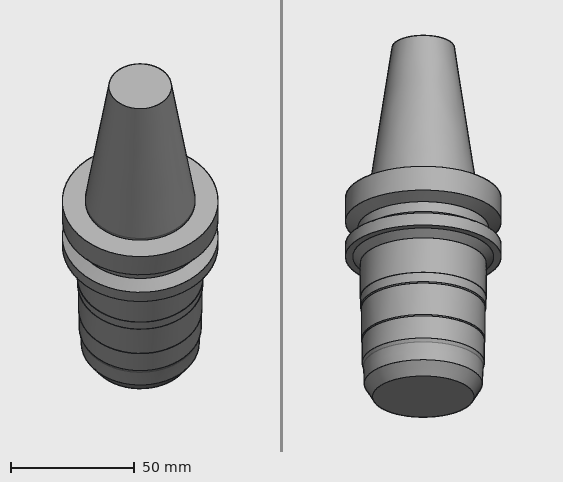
import cadquery as cq
import math

gauge_diameter = 44.45
taper_ratio = 7 / 24
shank_length = 65.4
overall_length = 154.3
nose_z = shank_length - overall_length

flange_diameter = 63.0
flange_top_z = -1.0
flange_bottom_z = -27.0
groove_centre_z = -16.6
groove_mouth_width = 10.15
groove_root_diameter = 53.0
groove_flank_angle = 30.0
collar_diameter = 57.0
collar_bottom_z = -30.0

body_diameter = 51.0
upper_step_z = -45.2
upper_band_diameter = 50.7
upper_band_bottom_z = -49.3
middle_diameter = 50.0
middle_top_z = -49.8
middle_bottom_z = -63.7
lower_band_diameter = 49.5
lower_band_top_z = -64.2
lower_band_bottom_z = -74.0
nose_ring_diameter = 48.5
nose_ring_z = -75.5
nose_shoulder_diameter = 47.8
nose_shoulder_z = -83.2
nose_end_diameter = 41.0

shank_end_diameter = gauge_diameter - taper_ratio * shank_length
groove_depth = (flange_diameter - groove_root_diameter) / 2
groove_flank_height = groove_depth * math.tan(math.radians(groove_flank_angle))
groove_top_z = groove_centre_z + groove_mouth_width / 2
groove_bottom_z = groove_centre_z - groove_mouth_width / 2

shank_profile = [
    (shank_end_diameter, shank_length),
    (gauge_diameter, 0),
    (gauge_diameter, flange_top_z),
]
flange_profile = [
    (flange_diameter, flange_top_z),
    (flange_diameter, groove_top_z),
    (groove_root_diameter, groove_top_z - groove_flank_height),
    (groove_root_diameter, groove_bottom_z + groove_flank_height),
    (flange_diameter, groove_bottom_z),
    (flange_diameter, flange_bottom_z),
    (collar_diameter, flange_bottom_z),
    (body_diameter, collar_bottom_z),
]
body_profile = [
    (body_diameter, upper_step_z),
    (upper_band_diameter, upper_step_z),
    (upper_band_diameter, upper_band_bottom_z),
    (middle_diameter, middle_top_z),
    (middle_diameter, middle_bottom_z),
    (lower_band_diameter, lower_band_top_z),
    (lower_band_diameter, lower_band_bottom_z),
    (nose_ring_diameter, nose_ring_z),
    (nose_shoulder_diameter, nose_shoulder_z),
    (nose_end_diameter, nose_z),
]


def revolve_profile(profile):
    """Revolve (diameter, Z) points about the Z axis into a solid."""
    outline = [(diameter / 2, z) for diameter, z in profile]
    axis_points = [(0, profile[-1][1]), (0, profile[0][1])]
    section = cq.Workplane("XZ").polyline(outline + axis_points).close()
    return section.revolve(360, (0, 0, 0), (0, 1, 0))


result = revolve_profile(shank_profile + flange_profile + body_profile)